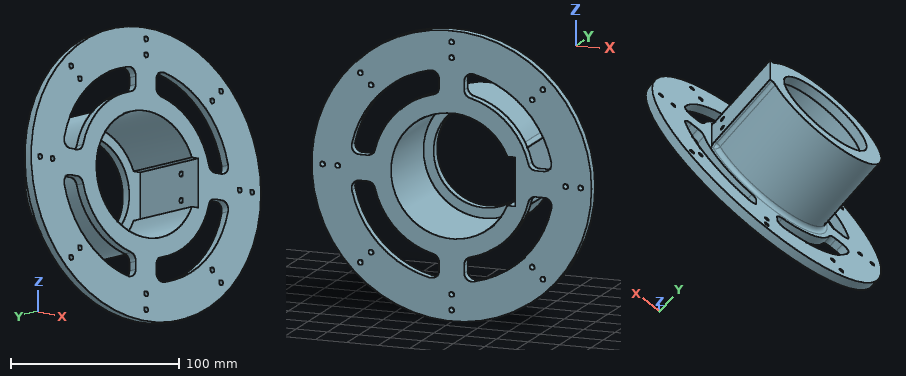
import cadquery as cq
import math

flange_radius = 89.0
flange_thickness = 6.0
total_depth = 60.0

hub_radius = 43.6
bore_radius = 38.5
back_opening_radius = 32.0
back_lip_thickness = flange_thickness
blend_radius = 3.0

keyway_half_width = 15.0
keyway_floor = 40.4
pad_half_width = 18.0
pad_face = 42.9

pad_hole_diameter = 3.0
pad_hole_offset = 8.0
pad_hole_depth = 16.0

window_inner_radius = 50.2
window_outer_radius = 65.0
window_corner_radius = 5.0
spoke_half_width = 8.0
window_count = 4

mount_hole_diameter = 3.0
mount_circle_radii = (72.5, 82.0)
mount_positions = 8

pick_margin = 0.2


def front_plane(y):
    """Workplane at depth y; a negative extrusion runs toward +Y."""
    return cq.Workplane("XZ", origin=(0, y, 0))


def cylinder(radius, start, end):
    """Cylinder on the part axis between two depths."""
    return front_plane(start).circle(radius).extrude(start - end)


def pad_bar(half_width, face, start, end):
    """Bar from the axis out to a flat face on the +X side, between two depths."""
    return front_plane(start).center(face / 2, 0).rect(face, 2 * half_width).extrude(start - end)


def hub_outside():
    """Sleeve and pad, with concave blends where the pad sides meet the sleeve."""
    untrimmed_face = hub_radius + 2 * blend_radius
    sleeve = cylinder(hub_radius, 0, total_depth)
    pad = pad_bar(pad_half_width, untrimmed_face, 0, total_depth)
    joint_x = math.sqrt(hub_radius**2 - pad_half_width**2)
    joints = cq.selectors.BoxSelector(
        (joint_x - pick_margin, 0, -hub_radius),
        (joint_x + pick_margin, total_depth, hub_radius),
    )
    return sleeve.union(pad).edges("|Y").edges(joints).fillet(blend_radius)


def body():
    """Flange and hub, blended together and trimmed flat on the pad face."""
    solid = cylinder(flange_radius, 0, flange_thickness).union(hub_outside())
    edge_reach = hub_radius + 3 * blend_radius
    base_edges = cq.selectors.BoxSelector(
        (-edge_reach, flange_thickness - pick_margin, -edge_reach),
        (edge_reach, flange_thickness + pick_margin, edge_reach),
        boundingbox=True,
    )
    solid = solid.edges(base_edges).fillet(blend_radius)
    trim = (
        front_plane(flange_thickness)
        .center(pad_face + flange_radius / 2, 0)
        .rect(flange_radius, 2 * flange_radius)
        .extrude(flange_thickness - total_depth)
    )
    return solid.cut(trim)


def bore():
    """Main bore with its keyway, and the narrower opening through the back lip."""
    lip_start = total_depth - back_lip_thickness
    keyway = pad_bar(keyway_half_width, keyway_floor, 0, lip_start)
    return (
        cylinder(bore_radius, 0, lip_start)
        .union(keyway)
        .union(cylinder(back_opening_radius, 0, total_depth))
    )


def windows():
    """Arc-shaped windows: a ring split by the spokes, with rounded corners."""
    ring = cylinder(window_outer_radius, 0, flange_thickness).cut(
        cylinder(window_inner_radius, 0, flange_thickness)
    )
    quadrant = (
        front_plane(0)
        .moveTo(spoke_half_width, spoke_half_width)
        .rect(window_outer_radius, window_outer_radius, centered=False)
        .extrude(-flange_thickness)
    )
    window = ring.intersect(quadrant).edges("|Y").fillet(window_corner_radius)
    cutter = window
    for index in range(1, window_count):
        cutter = cutter.union(window.rotate((0, 0, 0), (0, 1, 0), index * 360 / window_count))
    return cutter


def mount_holes():
    """Pairs of through holes on two concentric circles."""
    holes = front_plane(0)
    for radius in mount_circle_radii:
        holes = holes.polarArray(radius, 0, 360, mount_positions).circle(mount_hole_diameter / 2)
    return holes.extrude(-flange_thickness)


def pad_holes():
    """Two small holes along X through the keyway floor."""
    return (
        cq.Workplane("YZ")
        .pushPoints([(pad_hole_depth, -pad_hole_offset), (pad_hole_depth, pad_hole_offset)])
        .circle(pad_hole_diameter / 2)
        .extrude(hub_radius)
    )


result = body().cut(bore()).cut(windows()).cut(mount_holes()).cut(pad_holes())